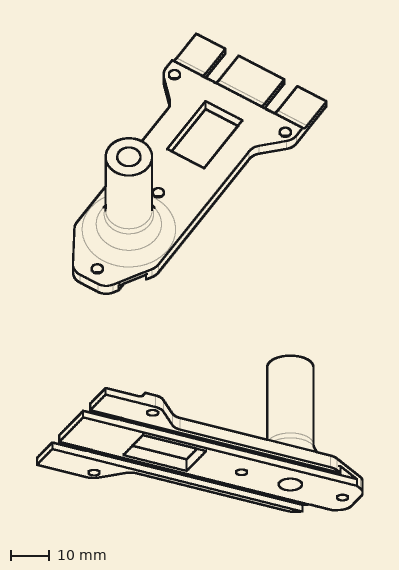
import cadquery as cq
import math

plate_thickness = 3.5
plate_half_width = 12.5
nose_half_width = 5.0
nose_length = 12.5
head_half_width = 20.0
shoulder_start_y = 58.5
shoulder_end_y = shoulder_start_y + head_half_width - plate_half_width
overall_length = 82.0
outline_radius = 4.0

tab_thickness = 2.0
step_top_y = 70.6
slope_angle = math.radians(65)
step_root_y = step_top_y + (plate_thickness - tab_thickness) / math.tan(slope_angle)
step_fillet_radius = 2.2

channel_width = 4.0
channel_center_x = 9.0
channel_depth = tab_thickness

post_center_y = 19.0
post_diameter = 12.0
post_bore_diameter = 6.0
overall_height = 35.0
flare_height = 7.5
flare_fillet_radius = 4.0

window_width = 11.3
window_start_y = 46.0
window_length = 18.2
screw_hole_diameter = 2.9
screw_hole_centers = [(0, 4.0), (0, 33.0), (-17.0, 67.0), (17.0, 67.0)]


def make_plate():
    """Full-thickness slab with all bends of the side outline rounded."""
    right_side = [
        (nose_half_width, 0),
        (plate_half_width, nose_length),
        (plate_half_width, shoulder_start_y),
        (head_half_width, shoulder_end_y),
        (head_half_width, overall_length),
    ]
    left_side = [(-x, y) for x, y in reversed(right_side)]
    slab = cq.Workplane("XY").polyline(right_side + left_side).close().extrude(plate_thickness)
    bends = slab.edges("|Z and (not >Y)")
    return bends.fillet(outline_radius)


def make_step_cutter():
    """Material above the tabs, bounded by the slope and its concave root fillet."""
    tangent_length = step_fillet_radius * math.tan(slope_angle / 2)
    arc_start = (
        step_root_y - tangent_length * math.cos(slope_angle),
        tab_thickness + tangent_length * math.sin(slope_angle),
    )
    arc_end_y = step_root_y + tangent_length
    arc_middle = (
        arc_end_y - step_fillet_radius * math.sin(slope_angle / 2),
        tab_thickness + step_fillet_radius * (1 - math.cos(slope_angle / 2)),
    )
    return (
        cq.Workplane("YZ")
        .moveTo(step_top_y, plate_thickness)
        .lineTo(*arc_start)
        .threePointArc(arc_middle, (arc_end_y, tab_thickness))
        .lineTo(overall_length, tab_thickness)
        .lineTo(overall_length, plate_thickness)
        .close()
        .extrude(head_half_width, both=True)
    )


def make_channel_cutter(center_x):
    """Channel running the whole length; it opens through the tabs up to the slope."""
    channel = cq.Workplane("XY").box(
        channel_width, overall_length, channel_depth, centered=(True, False, False))
    gap = (
        cq.Workplane("YZ", origin=(-channel_width / 2, 0, 0))
        .moveTo(step_top_y, plate_thickness)
        .lineTo(step_root_y, tab_thickness)
        .lineTo(overall_length, tab_thickness)
        .lineTo(overall_length, plate_thickness)
        .close()
        .extrude(channel_width)
    )
    return channel.union(gap).translate((center_x, 0, 0))


def make_post():
    """Post and conical foot as one revolved profile, blended at both ends of the cone."""
    post_radius = post_diameter / 2
    cone_radius = post_radius + flare_height / math.tan(slope_angle)
    root_tangent = flare_fillet_radius * math.tan(slope_angle / 2)
    neck_turn = math.pi / 2 - slope_angle
    neck_tangent = flare_fillet_radius * math.tan(neck_turn / 2)
    neck_z = plate_thickness + flare_height

    rim = (cone_radius + root_tangent, plate_thickness)
    root_middle = (
        rim[0] - flare_fillet_radius * math.sin(slope_angle / 2),
        rim[1] + flare_fillet_radius * (1 - math.cos(slope_angle / 2)),
    )
    root_end = (
        cone_radius - root_tangent * math.cos(slope_angle),
        plate_thickness + root_tangent * math.sin(slope_angle),
    )
    neck_start = (
        post_radius + neck_tangent * math.cos(slope_angle),
        neck_z - neck_tangent * math.sin(slope_angle),
    )
    neck_end = (post_radius, neck_z + neck_tangent)
    neck_middle = (
        post_radius + flare_fillet_radius * (1 - math.cos(neck_turn / 2)),
        neck_end[1] - flare_fillet_radius * math.sin(neck_turn / 2),
    )
    return (
        cq.Workplane("XZ")
        .moveTo(0, channel_depth)
        .lineTo(rim[0], channel_depth)
        .lineTo(*rim)
        .threePointArc(root_middle, root_end)
        .lineTo(*neck_start)
        .threePointArc(neck_middle, neck_end)
        .lineTo(post_radius, overall_height)
        .lineTo(0, overall_height)
        .close()
        .revolve(360, (0, 0, 0), (0, 1, 0))
        .translate((0, post_center_y, 0))
    )


def make_hole_cutter(diameter, centers):
    """Vertical cylinders through the full height of the part."""
    return cq.Workplane("XY").pushPoints(centers).circle(diameter / 2).extrude(overall_height)


def make_window_cutter():
    """Rectangular opening through the plate."""
    return (
        cq.Workplane("XY")
        .box(window_width, window_length, plate_thickness, centered=(True, False, False))
        .translate((0, window_start_y, 0))
    )


result = make_plate().cut(make_step_cutter())
for side in (-1, 1):
    result = result.cut(make_channel_cutter(side * channel_center_x))
result = result.union(make_post())
result = result.cut(make_window_cutter())
result = result.cut(make_hole_cutter(screw_hole_diameter, screw_hole_centers))
result = result.cut(make_hole_cutter(post_bore_diameter, [(0, post_center_y)]))